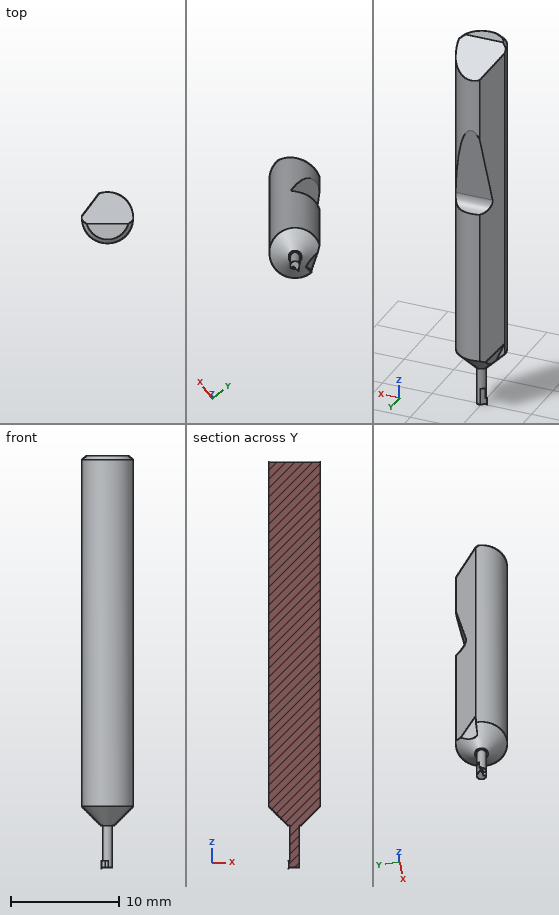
import cadquery as cq

total_length = 38.1
shank_radius = 2.38
top_chamfer = 0.4
shank_bottom = 5.75

cone_end_radius = 0.6
cone_bottom = shank_bottom - (shank_radius - cone_end_radius)
neck_radius = 0.45
neck_bottom = 0.1

flat_distance = 2.0
flat_angle = 37.0

facet_wall_y = 0.1
facet_top_x = -2.35
facet_top_z = 6.82
facet_slope_y = 0.37
facet_slope_z = 0.44

top_land_edge = -0.57

notch_top = 29.9
notch_floor_y = 1.15
notch_floor_z = 22.33
notch_corner_y = 1.37
notch_corner_z = 21.55
notch_bottom = 21.15

tooth_reach = 0.57
tooth_height = 0.72
tip_width = 0.08
rake_end_x = -0.2
rake_drop = 0.15
gash_wall_x = 0.08
relief_height = 1.8
relief_back_x = -0.08

margin = 0.75


def make_body():
    """Revolve the chamfered shank, cone and neck about Z."""
    return (
        cq.Workplane("XZ")
        .moveTo(0, neck_bottom)
        .lineTo(neck_radius, neck_bottom)
        .lineTo(neck_radius, cone_bottom)
        .lineTo(cone_end_radius, cone_bottom)
        .lineTo(shank_radius, shank_bottom)
        .lineTo(shank_radius, total_length - top_chamfer)
        .lineTo(shank_radius - top_chamfer, total_length)
        .lineTo(0, total_length)
        .close()
        .revolve(360, (0, 0, 0), (0, 1, 0))
    )


def make_flat_cut():
    """Block whose inner face is the long inclined flat."""
    width = 2 * shank_radius
    return (
        cq.Workplane("XY")
        .box(width, width, total_length, centered=(False, True, False))
        .translate((flat_distance, 0, 0))
        .rotate((0, 0, 0), (0, 0, 1), 180 - flat_angle)
    )


def make_facet_cut():
    """Space outside the tilted facet, limited to the cone and the +Y side of the wall."""
    size = 4 * shank_radius
    facet_plane = cq.Plane(
        origin=(facet_top_x, facet_wall_y, facet_top_z),
        xDir=(facet_slope_y, 1, 0),
        normal=(-1, facet_slope_y, -facet_slope_z),
    )
    outside = cq.Workplane(facet_plane).rect(size, size).extrude(size)
    limit = (
        cq.Workplane("XY")
        .box(size, size, facet_top_z - cone_bottom, centered=(True, False, False))
        .translate((0, facet_wall_y, cone_bottom))
    )
    return outside.intersect(limit)


def make_top_cut():
    """Wedge removed above the 45 degree top slope."""
    outer_y = shank_radius + margin
    slope_drop = outer_y - top_land_edge
    return (
        cq.Workplane("YZ")
        .polyline([
            (top_land_edge, total_length),
            (outer_y, total_length),
            (outer_y, total_length - slope_drop),
        ])
        .close()
        .extrude(shank_radius + margin, both=True)
    )


def make_notch():
    """Sloping notch with a rounded lower corner, through along X."""
    outer_y = shank_radius + margin
    return (
        cq.Workplane("YZ")
        .moveTo(outer_y, notch_top)
        .lineTo(shank_radius, notch_top)
        .lineTo(notch_floor_y, notch_floor_z)
        .threePointArc((notch_corner_y, notch_corner_z), (shank_radius, notch_bottom))
        .lineTo(outer_y, notch_bottom)
        .close()
        .extrude(shank_radius + margin, both=True)
    )


def make_tooth():
    """Tooth pointing toward -X, with a small downward point at its outer edge."""
    return (
        cq.Workplane("XZ")
        .polyline([
            (-tooth_reach, 0),
            (-tooth_reach, tooth_height),
            (0, tooth_height),
            (0, neck_bottom),
            (tip_width - tooth_reach, neck_bottom),
        ])
        .close()
        .extrude(neck_radius / 2, both=True)
    )


def make_gash():
    """Chip space in front of the tooth, bounded by its rake face."""
    outer = neck_radius + margin
    return (
        cq.Workplane("XY")
        .polyline([
            (-tooth_reach, 0),
            (rake_end_x, -rake_drop),
            (gash_wall_x, -rake_drop),
            (gash_wall_x, -outer),
            (-outer, -outer),
            (-outer, 0),
        ])
        .close()
        .extrude(tooth_height)
    )


def make_relief():
    """Clearance behind the tooth, continuing up the neck."""
    slope = neck_radius / (relief_back_x + tooth_reach)
    outer = neck_radius + margin
    return (
        cq.Workplane("XY")
        .polyline([
            (-tooth_reach, 0),
            (outer / slope - tooth_reach, outer),
            (-outer, outer),
            (-outer, 0),
        ])
        .close()
        .extrude(relief_height)
    )


shank = make_body().cut(make_flat_cut()).cut(make_facet_cut()).cut(make_top_cut()).cut(make_notch())
result = shank.union(make_tooth()).cut(make_gash()).cut(make_relief())